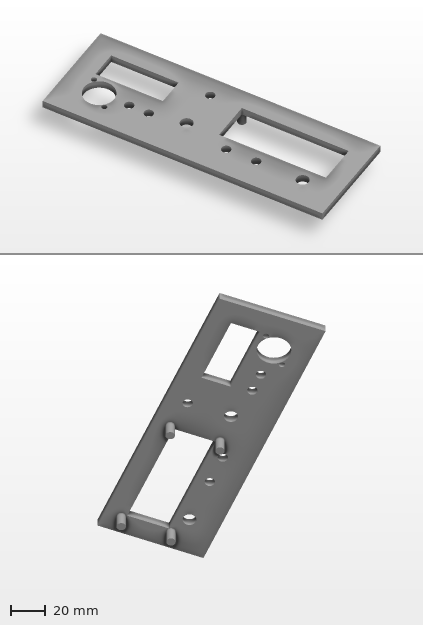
import cadquery as cq

PANEL_LENGTH = 187.0
PANEL_WIDTH = 66.0
PANEL_THICKNESS = 5.0
TOTAL_HEIGHT = 14.0

WINDOW_TOP = 53.0
SMALL_WINDOW_LEFT = 14.8
SMALL_WINDOW_LENGTH = 45.0
SMALL_WINDOW_WIDTH = 18.0
LARGE_WINDOW_LEFT = 102.1
LARGE_WINDOW_LENGTH = 71.5
LARGE_WINDOW_WIDTH = 26.0

ROUND_OPENING_DIAMETER = 20.0
ROUND_OPENING_X = SMALL_WINDOW_LEFT + ROUND_OPENING_DIAMETER / 2
ROUND_OPENING_Y = 22.0
SCREW_HOLE_DIAMETER = 3.5
SCREW_HOLE_OFFSET = 8.5

SMALL_HOLE_DIAMETER = 6.0
LARGE_HOLE_DIAMETER = 8.0
CENTER_COLUMN_X = 81.0
RIGHT_ROW_Y = 18.5
SMALL_HOLE_CENTERS = [
    (44.9, ROUND_OPENING_Y),
    (58.0, ROUND_OPENING_Y),
    (CENTER_COLUMN_X, WINDOW_TOP),
    (111.8, RIGHT_ROW_Y),
    (131.8, RIGHT_ROW_Y),
]
LARGE_HOLE_CENTERS = [
    (CENTER_COLUMN_X, 26.0),
    (162.9, RIGHT_ROW_Y),
]

STANDOFF_DIAMETER = 5.5
STANDOFF_LENGTH = TOTAL_HEIGHT - PANEL_THICKNESS
STANDOFF_LEFT = 100.5
STANDOFF_BOTTOM = 24.9
STANDOFF_SPACING_X = 75.0
STANDOFF_SPACING_Y = 31.0


def window(left, length, width):
    """Through cutter for a window hanging from the shared upper edge."""
    return cq.Workplane("XY").box(length, width, PANEL_THICKNESS, centered=False).translate(
        (left, WINDOW_TOP - width, 0)
    )


def holes(centers, diameter):
    """Through cutters for round holes of one diameter."""
    return cq.Workplane("XY").pushPoints(centers).circle(diameter / 2).extrude(PANEL_THICKNESS)


def standoffs():
    """Four posts hanging from the underside of the panel."""
    centers = [
        (STANDOFF_LEFT + column * STANDOFF_SPACING_X, STANDOFF_BOTTOM + row * STANDOFF_SPACING_Y)
        for column in range(2)
        for row in range(2)
    ]
    return cq.Workplane("XY").pushPoints(centers).circle(STANDOFF_DIAMETER / 2).extrude(-STANDOFF_LENGTH)


def make_panel():
    """Front panel with its windows, holes and integral standoffs."""
    screw_hole_centers = [
        (ROUND_OPENING_X - SCREW_HOLE_OFFSET, ROUND_OPENING_Y + SCREW_HOLE_OFFSET),
        (ROUND_OPENING_X + SCREW_HOLE_OFFSET, ROUND_OPENING_Y - SCREW_HOLE_OFFSET),
    ]
    plate = cq.Workplane("XY").box(PANEL_LENGTH, PANEL_WIDTH, PANEL_THICKNESS, centered=False)
    plate = plate.cut(window(SMALL_WINDOW_LEFT, SMALL_WINDOW_LENGTH, SMALL_WINDOW_WIDTH))
    plate = plate.cut(window(LARGE_WINDOW_LEFT, LARGE_WINDOW_LENGTH, LARGE_WINDOW_WIDTH))
    plate = plate.cut(holes([(ROUND_OPENING_X, ROUND_OPENING_Y)], ROUND_OPENING_DIAMETER))
    plate = plate.cut(holes(screw_hole_centers, SCREW_HOLE_DIAMETER))
    plate = plate.cut(holes(SMALL_HOLE_CENTERS, SMALL_HOLE_DIAMETER))
    plate = plate.cut(holes(LARGE_HOLE_CENTERS, LARGE_HOLE_DIAMETER))
    return plate.union(standoffs())


panel = make_panel()

result = cq.Compound.makeCompound([panel.solids().val()])